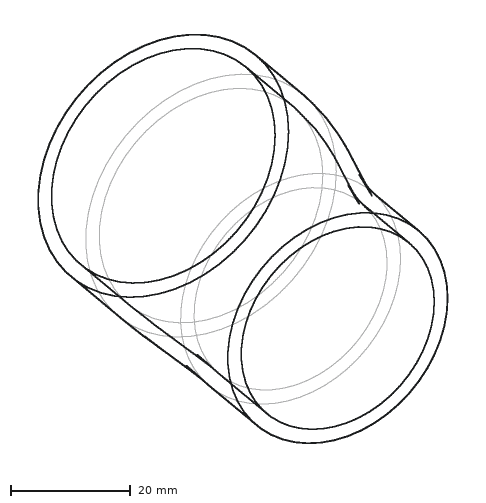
import cadquery as cq

LARGE_OUTER_DIAMETER = 48.3
SMALL_OUTER_DIAMETER = 42.4
WALL = 2.6
COLLAR_LENGTH = 16.0
TRANSITION_LENGTH = 32.0
SECTION_COUNT = 9

LARGE_RADIUS = LARGE_OUTER_DIAMETER / 2
SMALL_RADIUS = SMALL_OUTER_DIAMETER / 2
RADIUS_DROP = LARGE_RADIUS - SMALL_RADIUS
TRANSITION_END = COLLAR_LENGTH + TRANSITION_LENGTH


def circle_wire(x, y, radius):
    """Circle across the pipe, centred at the given X and Y."""
    return cq.Wire.makeCircle(radius, cq.Vector(x, y, 0), cq.Vector(1, 0, 0))


def collar(x, y, radius):
    """Straight cylindrical end, starting at the given X."""
    return cq.Workplane("YZ", origin=(x, y, 0)).circle(radius).extrude(COLLAR_LENGTH)


def transition(inset):
    """S-curved body that leaves both collars tangentially."""
    sections = []
    for index in range(SECTION_COUNT):
        t = index / (SECTION_COUNT - 1)
        drop = RADIUS_DROP * t**2 * (3 - 2 * t)
        x = COLLAR_LENGTH + TRANSITION_LENGTH * t
        sections.append(circle_wire(x, -drop, LARGE_RADIUS - drop - inset))
    return cq.Workplane(cq.Solid.makeLoft(sections))


def reducer_body(inset):
    """Solid reducer, with its surface moved inward by the inset."""
    large_end = collar(0, 0, LARGE_RADIUS - inset)
    small_end = collar(TRANSITION_END, -RADIUS_DROP, SMALL_RADIUS - inset)
    return large_end.union(transition(inset)).union(small_end)


outside = reducer_body(0)
bore = reducer_body(WALL)
result = outside.cut(bore)